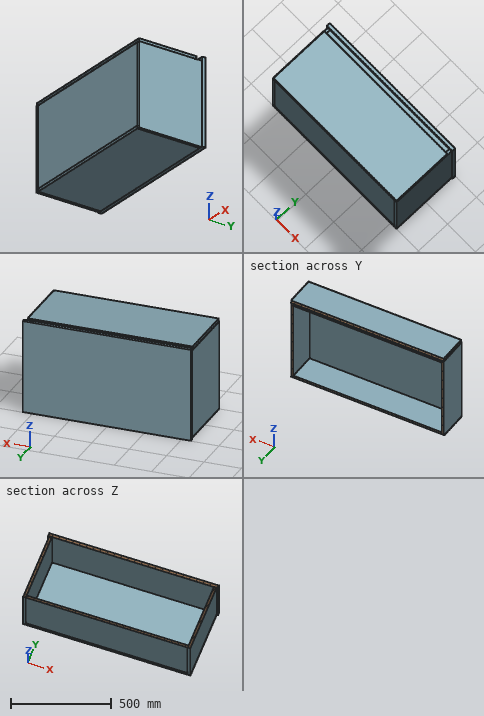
import cadquery as cq

width = 900.0
depth = 400.0
height = 500.0

face_thickness = 20.0
board = 16.0

side_inset = 6.0
carcass_drop = 20.0
carcass_width = width - 2 * side_inset
carcass_depth = depth - face_thickness
carcass_height = height - carcass_drop
inner_width = carcass_width - 2 * board

slab_thickness = 17.0
slab_inset = 2.0
grip_gap = 27.0
grip_bevel = 12.0
slab_width = carcass_width - 2 * slab_inset
slab_depth = carcass_depth - grip_gap - slab_inset


def block(size_x, size_y, size_z, y_min, z_min, x_center=0.0):
    """A board centred on x_center, with its lowest Y and Z given."""
    shape = cq.Workplane("XY").box(size_x, size_y, size_z, centered=(True, False, False))
    return shape.translate((x_center, y_min, z_min))


def make_face_board():
    return block(width, face_thickness, height, carcass_depth, 0)


def make_side_board(direction):
    return block(board, carcass_depth, carcass_height, 0, 0, direction * (carcass_width - board) / 2)


def make_bottom_board():
    return block(inner_width, carcass_depth, board, 0, 0)


def make_back_board():
    return block(inner_width, board, carcass_height - board, 0, board)


def make_lid_board():
    return block(inner_width, carcass_depth - board, board, board, carcass_height - board)


def make_top_slab():
    slab = block(slab_width, slab_depth, slab_thickness, slab_inset, carcass_height)
    return slab.edges(">Y and <Z").chamfer(grip_bevel)


face_board = make_face_board()
side_boards = [make_side_board(direction) for direction in (-1, 1)]
bottom_board = make_bottom_board()
back_board = make_back_board()
lid_board = make_lid_board()
top_slab = make_top_slab()

result = cq.Compound.makeCompound(
    [
        face_board.val(),
        *[side.val() for side in side_boards],
        bottom_board.val(),
        back_board.val(),
        lid_board.val(),
        top_slab.val(),
    ]
)